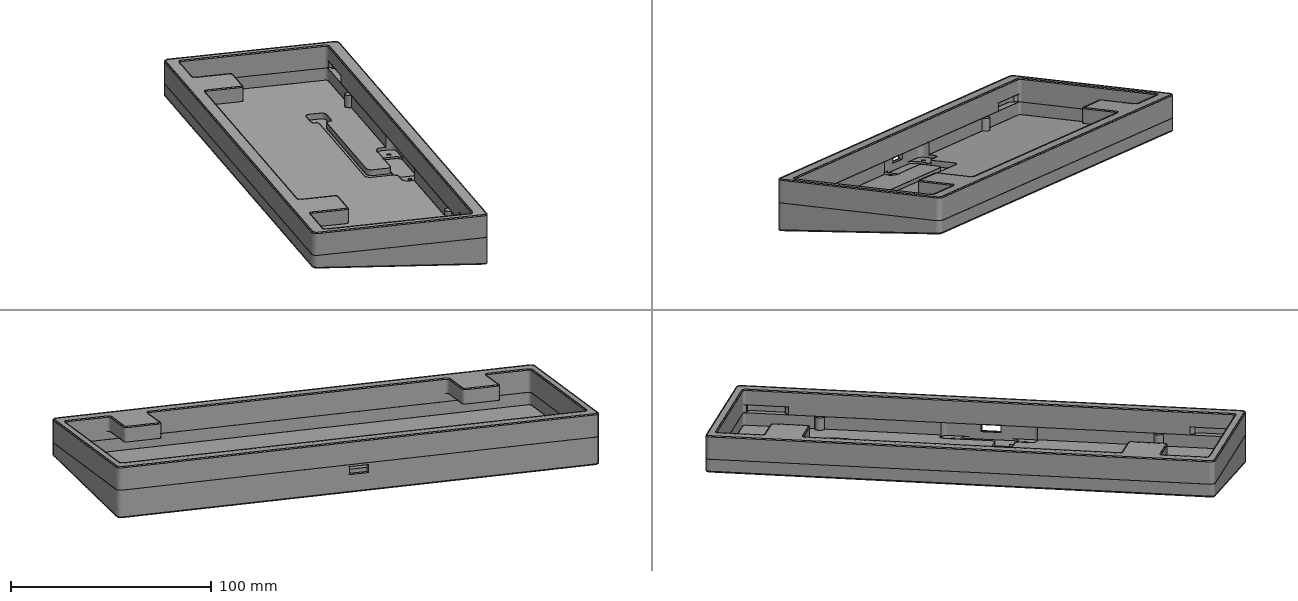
import cadquery as cq
import math

LENGTH = 257.5
DEPTH = 91.2
HEIGHT = 26.5
FRONT_HEIGHT = 18.8
FRAME_HEIGHT = 12.0
CORNER_RADIUS = 2.5
EDGE_CHAMFER = 0.5

SIDE_WALL = 4.5
END_WALL = 7.0
CAVITY_RADIUS = 1.5
FLOOR_DROP = 18.5

TAB_X = 90.5
TAB_WIDTH = 19.8
TAB_REACH = 20.4
TAB_THICKNESS = 8.0
TAB_RADIUS = 1.5

NOTCH_START = 103.5
NOTCH_END = 122.5
NOTCH_DEPTH = 4.5
NOTCH_HEIGHT = 4.0
NOTCH_END_RADIUS = 1.3
FLARE_RADIUS = 2.0

POST_X = 85.8
POST_Y = 38.5
POST_DIAMETER = 5.0

POCKET_FRONT = 33.0
POCKET_BACK = 43.5
POCKET_RADIUS = 3.0
SHELF_LENGTH = 49.0
SHELF_DROP = 1.5
MIDDLE_LENGTH = 28.5
MIDDLE_DROP = 2.5
SHELF_HOLE_X = 18.3
SHELF_HOLE_Y = 38.5
SHELF_HOLE_DIAMETER = 2.0
SHELF_HOLE_DEPTH = 2.0

PORT_WIDTH = 10.0
PORT_HEIGHT = 4.0
PORT_TOP_DROP = 1.0

CHANNEL_DROP = 3.0
CHANNEL_LEFT = 4.0
CHANNEL_RIGHT = 14.2
CHANNEL_FRONT = 16.7
CHANNEL_WIDTH = 3.9
CHANNEL_RADIUS = 3.0
MOUTH_RADIUS = 2.0
WELL_LEFT = -80.5
WELL_RIGHT = -68.0
WELL_WIDTH = 10.5
WELL_RADIUS = 2.5
WELL_NECK_RADIUS = 1.5

SPLIT_Z = HEIGHT - FRAME_HEIGHT
FLOOR_Z = HEIGHT - FLOOR_DROP
TAB_Z = HEIGHT - TAB_THICKNESS
SHELF_Z = FLOOR_Z - SHELF_DROP
MIDDLE_Z = FLOOR_Z - MIDDLE_DROP
CAVITY_LENGTH = LENGTH - 2 * SIDE_WALL
CAVITY_DEPTH = DEPTH - 2 * END_WALL
CAVITY_FRONT = -CAVITY_DEPTH / 2
CAVITY_BACK = CAVITY_DEPTH / 2
TAB_TIP = CAVITY_FRONT + TAB_REACH
MARGIN = 0.3


def block(x0, x1, y0, y1, z0, z1):
    """Plain box between opposite corners."""
    box = cq.Workplane("XY").box(x1 - x0, y1 - y0, z1 - z0, centered=False)
    return box.translate((x0, y0, z0))


def upright(x, y, diameter, z0, z1):
    """Vertical cylinder."""
    return cq.Workplane("XY", origin=(x, y, z0)).circle(diameter / 2).extrude(z1 - z0)


def region(x0, x1, y0, y1):
    """Selector for edges centred inside a plan rectangle, at any height."""
    return cq.selectors.BoxSelector((x0, y0, -HEIGHT), (x1, y1, 2 * HEIGHT))


def case_blank():
    """Solid wedge of the whole case, with rounded corners and chamfered rims."""
    half = DEPTH / 2
    slope = math.atan((HEIGHT - FRONT_HEIGHT) / DEPTH)
    back_z = -EDGE_CHAMFER * math.sin(slope)
    profile = [(-half, HEIGHT), (-half, HEIGHT - FRONT_HEIGHT), (half, back_z), (half, HEIGHT)]
    wedge = cq.Workplane("YZ").polyline(profile).close().extrude(LENGTH / 2, both=True)
    wedge = wedge.edges("|Z").fillet(CORNER_RADIUS)
    return wedge.faces("<Z or >Z").edges().chamfer(EDGE_CHAMFER)


def cavity(z0, z1):
    """Round-cornered inner space between two levels."""
    space = cq.Workplane("XY", origin=(0, 0, z0)).rect(CAVITY_LENGTH, CAVITY_DEPTH).extrude(z1 - z0)
    return space.edges("|Z").fillet(CAVITY_RADIUS)


def flared_recess(x0, x1, y0, y1, z0, z1):
    """Recess running back from y0, with rounded far corners and a flared mouth."""
    flare = FLARE_RADIUS
    end = NOTCH_END_RADIUS
    outline = (
        cq.Workplane("XY", origin=(0, 0, z0))
        .moveTo(x0 - flare, y0)
        .radiusArc((x0, y0 + flare), flare)
        .lineTo(x0, y1 - end)
        .radiusArc((x0 + end, y1), end)
        .lineTo(x1 - end, y1)
        .radiusArc((x1, y1 - end), end)
        .lineTo(x1, y0 + flare)
        .radiusArc((x1 + flare, y0), flare)
        .close()
    )
    return outline.extrude(z1 - z0)


def frame_opening():
    """Space inside the frame, narrowed by the two tabs."""
    opening = cavity(SPLIT_Z, HEIGHT)
    for x in (-TAB_X, TAB_X):
        tab = block(x - TAB_WIDTH / 2, x + TAB_WIDTH / 2, CAVITY_FRONT - 2.5, TAB_TIP, SPLIT_Z, HEIGHT)
        opening = opening.cut(tab)
    reach = TAB_X + TAB_WIDTH
    tab_corners = region(-reach, reach, CAVITY_FRONT - MARGIN, TAB_TIP + MARGIN)
    return opening.edges("|Z").edges(tab_corners).fillet(TAB_RADIUS)


def make_frame():
    """Upper body: the rim, its two tabs and the back-wall notches."""
    frame = case_blank().intersect(block(-LENGTH, LENGTH, -DEPTH, DEPTH, SPLIT_Z, HEIGHT))
    frame = frame.cut(frame_opening())
    inner_rim = cq.selectors.BoxSelector(
        (-CAVITY_LENGTH / 2 - MARGIN, CAVITY_FRONT - MARGIN, HEIGHT - MARGIN),
        (CAVITY_LENGTH / 2 + MARGIN, CAVITY_BACK + MARGIN, HEIGHT + MARGIN),
        boundingbox=True,
    )
    frame = frame.edges(inner_rim).chamfer(EDGE_CHAMFER)
    frame = frame.cut(cavity(SPLIT_Z, TAB_Z))
    notch_back = CAVITY_BACK + NOTCH_DEPTH
    for x0, x1 in ((-NOTCH_END, -NOTCH_START), (NOTCH_START, NOTCH_END)):
        notch = flared_recess(x0, x1, CAVITY_BACK, notch_back, SPLIT_Z, SPLIT_Z + NOTCH_HEIGHT)
        frame = frame.cut(notch)
    return frame


def pocket_step(length, z0):
    """One level of the connector pocket, with all four corners rounded."""
    step = block(-length / 2, length / 2, POCKET_FRONT, POCKET_BACK, z0, SPLIT_Z)
    return step.edges("|Z").fillet(POCKET_RADIUS)


def cable_channel():
    """Channel from the pocket, around a bend and into the well."""
    channel_back = CHANNEL_FRONT + CHANNEL_WIDTH
    well_middle = CHANNEL_FRONT + CHANNEL_WIDTH / 2
    well_front = well_middle - WELL_WIDTH / 2
    well_back = well_middle + WELL_WIDTH / 2
    outline = (
        cq.Workplane("XY", origin=(0, 0, FLOOR_Z - CHANNEL_DROP))
        .moveTo(CHANNEL_LEFT - MOUTH_RADIUS, POCKET_FRONT)
        .radiusArc((CHANNEL_LEFT, POCKET_FRONT - MOUTH_RADIUS), MOUTH_RADIUS)
        .lineTo(CHANNEL_LEFT, channel_back + CHANNEL_RADIUS)
        .radiusArc((CHANNEL_LEFT - CHANNEL_RADIUS, channel_back), CHANNEL_RADIUS)
        .lineTo(WELL_RIGHT, channel_back)
        .lineTo(WELL_RIGHT, well_back)
        .lineTo(WELL_LEFT, well_back)
        .lineTo(WELL_LEFT, well_front)
        .lineTo(WELL_RIGHT, well_front)
        .lineTo(WELL_RIGHT, CHANNEL_FRONT)
        .lineTo(CHANNEL_RIGHT - CHANNEL_RADIUS, CHANNEL_FRONT)
        .radiusArc((CHANNEL_RIGHT, CHANNEL_FRONT + CHANNEL_RADIUS), -CHANNEL_RADIUS)
        .lineTo(CHANNEL_RIGHT, POCKET_FRONT - MOUTH_RADIUS)
        .radiusArc((CHANNEL_RIGHT + MOUTH_RADIUS, POCKET_FRONT), MOUTH_RADIUS)
        .close()
    )
    channel = outline.extrude(CHANNEL_DROP)
    far_corners = region(WELL_LEFT - MARGIN, WELL_LEFT + MARGIN, well_front - 2.5, well_back + 2.5)
    channel = channel.edges("|Z").edges(far_corners).fillet(WELL_RADIUS)
    neck_corners = region(WELL_RIGHT - MARGIN, WELL_RIGHT + MARGIN, well_front - 2.5, well_back + 2.5)
    return channel.edges("|Z").edges(neck_corners).fillet(WELL_NECK_RADIUS)


def make_tray():
    """Lower body: the floor, its posts, connector pocket, port and cable channel."""
    tray = case_blank().intersect(block(-LENGTH, LENGTH, -DEPTH, DEPTH, -HEIGHT, SPLIT_Z))
    tray = tray.cut(cavity(FLOOR_Z, SPLIT_Z))
    for x in (-POST_X, POST_X):
        tray = tray.union(upright(x, POST_Y, POST_DIAMETER, FLOOR_Z, SPLIT_Z))
    tray = tray.cut(pocket_step(SHELF_LENGTH, SHELF_Z))
    tray = tray.cut(pocket_step(MIDDLE_LENGTH, MIDDLE_Z))
    for x in (-SHELF_HOLE_X, SHELF_HOLE_X):
        hole = upright(x, SHELF_HOLE_Y, SHELF_HOLE_DIAMETER, SHELF_Z - SHELF_HOLE_DEPTH, SHELF_Z)
        tray = tray.cut(hole)
    port_top = SPLIT_Z - PORT_TOP_DROP
    port = block(-PORT_WIDTH / 2, PORT_WIDTH / 2, POCKET_BACK - 2.5, DEPTH, port_top - PORT_HEIGHT, port_top)
    tray = tray.cut(port)
    return tray.cut(cable_channel())


frame = make_frame()
tray = make_tray()
result = cq.Compound.makeCompound([frame.val(), tray.val()])